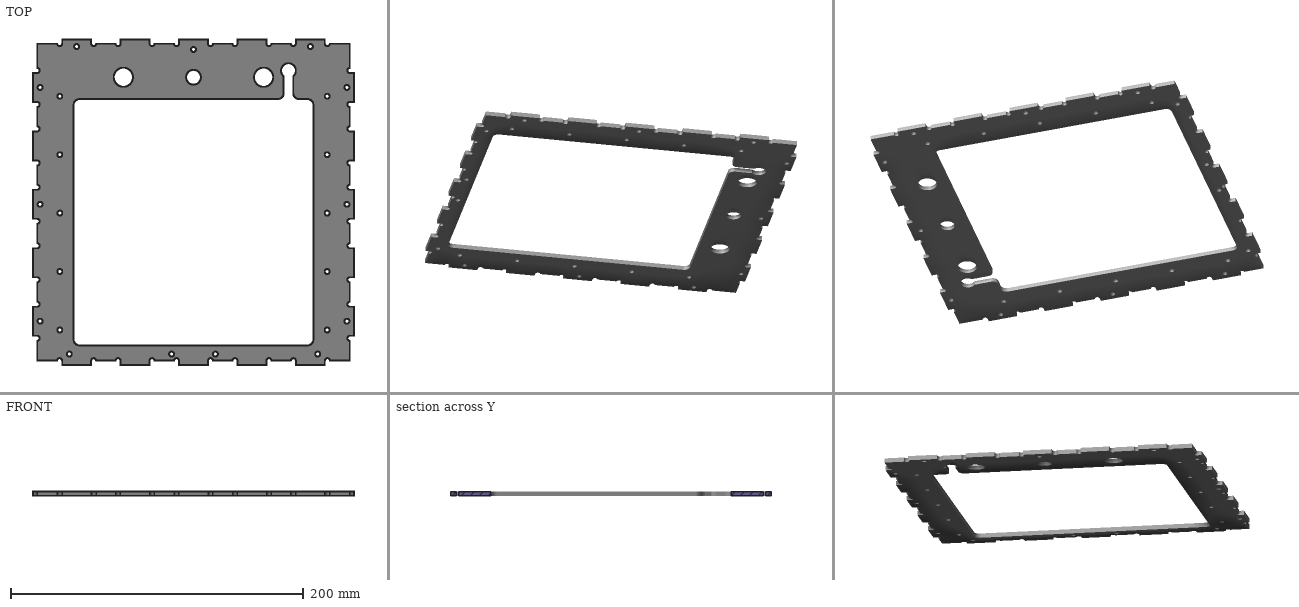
import cadquery as cq

THICKNESS = 3.0
TAB_HEIGHT = 3.0
BODY_WIDTH = 220.0 - 2 * TAB_HEIGHT
BODY_LENGTH = 223.0 - 2 * TAB_HEIGHT

TAB_WIDTH = 20.0
TAB_PITCH = 40.0
TAB_COUNT = 5
SIDE_TAB_SHIFT = -1.5
RELIEF_DIAMETER = 3.3

WINDOW_WIDTH = 164.0
WINDOW_TOP = 70.5
WINDOW_BOTTOM = -98.0
WINDOW_RADIUS = 4.0

KEYHOLE_X = 65.0
KEYHOLE_Y = 90.0
KEYHOLE_DIAMETER = 10.0
KEYHOLE_SLOT_WIDTH = 6.5
KEYHOLE_MOUTH_RADIUS = 4.0

BAND_HOLE_Y = 85.5
CENTER_HOLE_DIAMETER = 10.0
OUTER_HOLE_DIAMETER = 13.0
OUTER_HOLE_X = 48.0

SCREW_DIAMETER = 3.3
SCREW_EDGE_OFFSET = 2.0
TOP_CENTER_SCREW_Y = 104.5
INNER_SCREW_X = 91.5
INNER_SCREW_SHIFT = -6.0
BOTTOM_SCREW_Y = -104.0
BOTTOM_SCREW_XS = (15.0, 85.0)

HALF_WIDTH = BODY_WIDTH / 2
HALF_LENGTH = BODY_LENGTH / 2
TAB_CENTERS = [(i - (TAB_COUNT - 1) / 2) * TAB_PITCH for i in range(TAB_COUNT)]
SIDE_TAB_CENTERS = [center + SIDE_TAB_SHIFT for center in TAB_CENTERS]
SIGNS = (-1, 1)


def block(width, length, points):
    """Full-thickness rectangles centred on the given points."""
    return cq.Workplane("XY").pushPoints(points).rect(width, length).extrude(THICKNESS)


def discs(diameter, points):
    """Full-thickness cylinders centred on the given points."""
    return cq.Workplane("XY").pushPoints(points).circle(diameter / 2).extrude(THICKNESS)


def make_sheet():
    """Rectangular body with tabs along all four edges."""
    body = block(BODY_WIDTH, BODY_LENGTH, [(0, 0)])
    upright_bars = block(TAB_WIDTH, BODY_LENGTH + 2 * TAB_HEIGHT, [(x, 0) for x in TAB_CENTERS])
    level_bars = block(BODY_WIDTH + 2 * TAB_HEIGHT, TAB_WIDTH, [(0, y) for y in SIDE_TAB_CENTERS])
    return body.union(upright_bars).union(level_bars)


def make_reliefs():
    """Round reliefs centred on the body edge, each tangent to the flank of a tab."""
    offset = (TAB_WIDTH + RELIEF_DIAMETER) / 2
    points = []
    for edge in SIGNS:
        for flank in SIGNS:
            points += [(x + flank * offset, edge * HALF_LENGTH) for x in TAB_CENTERS]
            points += [(edge * HALF_WIDTH, y + flank * offset) for y in SIDE_TAB_CENTERS]
    return discs(RELIEF_DIAMETER, points)


def make_opening():
    """Window joined to the keyhole by a slot with a rounded mouth."""
    window_length = WINDOW_TOP - WINDOW_BOTTOM
    window_center_y = (WINDOW_TOP + WINDOW_BOTTOM) / 2
    window = block(WINDOW_WIDTH, window_length, [(0, window_center_y)])
    window = window.edges("|Z").fillet(WINDOW_RADIUS)

    slot_length = KEYHOLE_Y - WINDOW_TOP
    slot = block(KEYHOLE_SLOT_WIDTH, slot_length, [(KEYHOLE_X, WINDOW_TOP + slot_length / 2)])
    opening = window.union(slot)

    mouth_corners = cq.selectors.BoxSelector(
        (KEYHOLE_X - KEYHOLE_SLOT_WIDTH, WINDOW_TOP - THICKNESS, -THICKNESS),
        (KEYHOLE_X + KEYHOLE_SLOT_WIDTH, WINDOW_TOP + THICKNESS, 2 * THICKNESS),
    )
    opening = opening.edges("|Z").edges(mouth_corners).fillet(KEYHOLE_MOUTH_RADIUS)
    return opening.union(discs(KEYHOLE_DIAMETER, [(KEYHOLE_X, KEYHOLE_Y)]))


def make_band_holes():
    """Large holes in the wide band above the window."""
    center = discs(CENTER_HOLE_DIAMETER, [(0, BAND_HOLE_Y)])
    outer = discs(OUTER_HOLE_DIAMETER, [(side * OUTER_HOLE_X, BAND_HOLE_Y) for side in SIGNS])
    return center.union(outer)


def make_screw_holes():
    """Screw holes around the frame, mirrored about the YZ plane."""
    alternate_side_tabs = SIDE_TAB_CENTERS[::2]
    points = [(0, TOP_CENTER_SCREW_Y)]
    for side in SIGNS:
        points.append((side * TAB_CENTERS[-1], HALF_LENGTH - SCREW_EDGE_OFFSET))
        edge_x = side * (HALF_WIDTH - SCREW_EDGE_OFFSET)
        points += [(edge_x, y) for y in alternate_side_tabs]
        points += [(side * INNER_SCREW_X, y + INNER_SCREW_SHIFT) for y in SIDE_TAB_CENTERS]
        points += [(side * x, BOTTOM_SCREW_Y) for x in BOTTOM_SCREW_XS]
    return discs(SCREW_DIAMETER, points)


result = (
    make_sheet()
    .cut(make_reliefs())
    .cut(make_opening())
    .cut(make_band_holes())
    .cut(make_screw_holes())
)